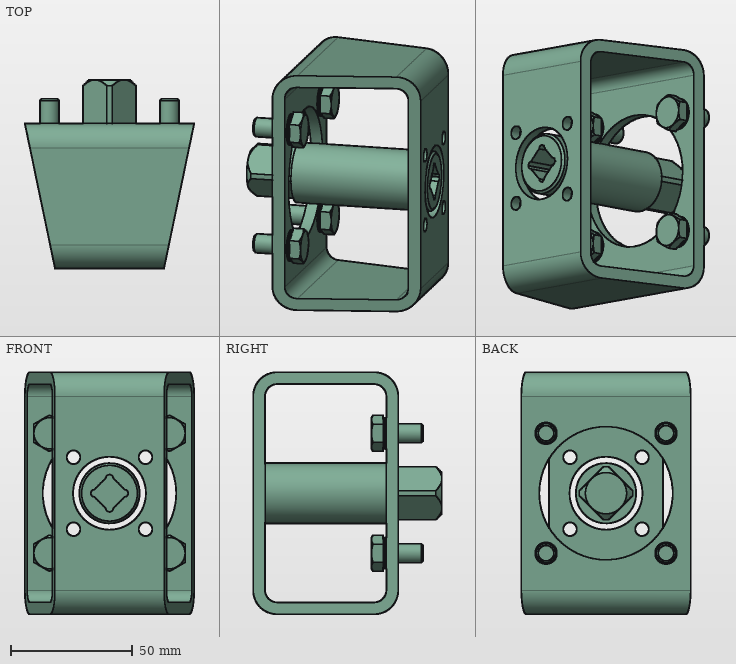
import cadquery as cq
import math


bracket_height = 100.0
bracket_depth = 60.0
wall = 5.0
outer_corner_radius = 10.0
inner_corner_radius = outer_corner_radius - wall
rear_width = 70.0
front_width = 45.0

rear_opening_diameter = 55.0
front_opening_diameter = 30.0
front_hole_diameter = 5.5
front_hole_circle = 42.0
bolt_hole_diameter = 9.0
bolt_circle = 70.0

shaft_diameter = 25.0
shaft_front_chamfer = 1.0
shaft_rear_reach = 18.0
round_end_y = -2.0
square_flats = 17.0
square_corner_diameter = 22.0
square_end_chamfer = 2.5
socket_flats = 11.0
socket_depth = 15.0
relief_diameter = 3.0
relief_offset = 6.2

washer_outer_diameter = 13.0
washer_hole_diameter = 8.4
washer_thickness = 0.8
washer_rim_thickness = 0.5
washer_seat_diameter = 11.8
bolt_diameter = 8.0
bolt_length = 16.0
bolt_tip_chamfer = 0.8
head_flats = 13.0
head_height = 5.3
head_collar_diameter = 11.6
head_collar_height = 0.5
head_crown_diameter = 12.9
head_crown_angle = 30.0


def along_y(y):
    """Workplane across the Y axis at the given Y; its local x, y and normal are X, Z and -Y."""
    return cq.Workplane("XZ", origin=(0, y, 0))


def square_pattern(circle_diameter):
    """Centres of four holes, at 45 degrees on a pitch circle."""
    offset = circle_diameter / 2 * math.sqrt(0.5)
    return [(x, z) for x in (-offset, offset) for z in (-offset, offset)]


def revolved_about_y(profile):
    """Solid of revolution about the Y axis from (radius, y) points."""
    return cq.Workplane("XY").polyline(profile).close().revolve(360, (0, 0, 0), (0, 1, 0))


def rounded_block(height, y_front, y_rear, corner_radius):
    """Block across the full bracket width, with rounded edges along X."""
    block = cq.Workplane("XY").box(rear_width, y_rear - y_front, height)
    return block.edges("|X").fillet(corner_radius).translate((0, (y_front + y_rear) / 2, 0))


def make_bracket():
    outside = rounded_block(bracket_height, -bracket_depth, 0, outer_corner_radius)
    inside = rounded_block(bracket_height - 2 * wall, wall - bracket_depth, -wall, inner_corner_radius)
    taper = (
        cq.Workplane("XY")
        .polyline([
            (-rear_width / 2, 0),
            (rear_width / 2, 0),
            (front_width / 2, -bracket_depth),
            (-front_width / 2, -bracket_depth),
        ])
        .close()
        .extrude(bracket_height / 2, both=True)
    )
    rear_opening = along_y(0).circle(rear_opening_diameter / 2).extrude(wall)
    bolt_holes = (
        along_y(0).pushPoints(square_pattern(bolt_circle))
        .circle(bolt_hole_diameter / 2).extrude(wall)
    )
    inner_front_y = wall - bracket_depth
    front_opening = along_y(inner_front_y).circle(front_opening_diameter / 2).extrude(wall)
    front_holes = (
        along_y(inner_front_y).pushPoints(square_pattern(front_hole_circle))
        .circle(front_hole_diameter / 2).extrude(wall)
    )
    tube = outside.cut(inside).intersect(taper)
    return tube.cut(rear_opening).cut(bolt_holes).cut(front_opening).cut(front_holes)


def make_socket():
    """Square socket standing on its corner, with a round relief in each corner."""
    front = along_y(-bracket_depth)
    square = front.transformed(rotate=(0, 0, 45)).rect(socket_flats, socket_flats).extrude(-socket_depth)
    reliefs = (
        front.polarArray(relief_offset, 0, 360, 4)
        .circle(relief_diameter / 2).extrude(-socket_depth)
    )
    return square.union(reliefs)


def make_shaft():
    round_part = (
        along_y(-bracket_depth).circle(shaft_diameter / 2).extrude(-(bracket_depth + round_end_y))
        .faces("<Y").chamfer(shaft_front_chamfer)
    )
    square_length = shaft_rear_reach - round_end_y
    square_part = (
        along_y(round_end_y).transformed(rotate=(0, 0, 45))
        .rect(square_flats, square_flats).extrude(-square_length)
    )
    corner_limit = (
        along_y(round_end_y).circle(square_corner_diameter / 2).extrude(-square_length)
        .faces(">Y").chamfer(square_end_chamfer)
    )
    return round_part.union(square_part.intersect(corner_limit)).cut(make_socket())


def make_washer(x, z):
    """Washer on the inside of the rear wall, with a bevelled edge toward the bolt head."""
    hole_radius = washer_hole_diameter / 2
    rim_radius = washer_outer_diameter / 2
    seat_y = -wall - washer_thickness
    washer = revolved_about_y([
        (hole_radius, -wall),
        (rim_radius, -wall),
        (rim_radius, -wall - washer_rim_thickness),
        (washer_seat_diameter / 2, seat_y),
        (hole_radius, seat_y),
    ])
    return washer.translate((x, 0, z))


def make_bolt(x, z):
    """Hexagon head bolt entering the rear wall from inside the bracket."""
    seat_y = -wall - washer_thickness
    collar_y = seat_y - head_collar_height
    crown_y = seat_y - head_height
    shank = (
        along_y(seat_y).circle(bolt_diameter / 2).extrude(-bolt_length)
        .faces(">Y").chamfer(bolt_tip_chamfer)
    )
    collar = along_y(seat_y).circle(head_collar_diameter / 2).extrude(head_collar_height)
    head_corners = head_flats / math.cos(math.radians(30))
    hexagon = (
        along_y(collar_y).transformed(rotate=(0, 0, 30))
        .polygon(6, head_corners).extrude(head_height - head_collar_height)
    )
    crown_radius = head_crown_diameter / 2
    corner_radius = head_corners / 2
    crown_drop = (corner_radius - crown_radius) * math.tan(math.radians(head_crown_angle))
    crown_limit = revolved_about_y([
        (0, crown_y),
        (crown_radius, crown_y),
        (corner_radius, crown_y + crown_drop),
        (corner_radius, collar_y),
        (0, collar_y),
    ])
    return hexagon.intersect(crown_limit).union(collar).union(shank).translate((x, 0, z))


bracket = make_bracket()
shaft = make_shaft()
bolts = []
washers = []
for bolt_x, bolt_z in square_pattern(bolt_circle):
    bolts.append(make_bolt(bolt_x, bolt_z).val())
    washers.append(make_washer(bolt_x, bolt_z).val())

result = cq.Compound.makeCompound([bracket.val(), shaft.val(), *bolts, *washers])